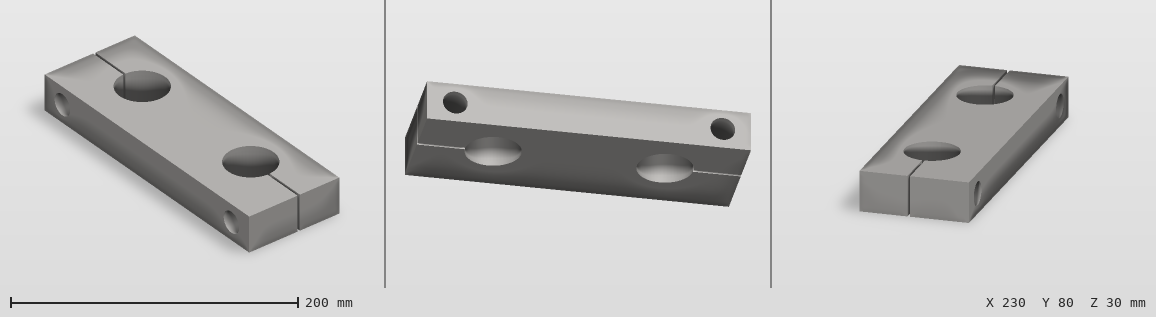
import cadquery as cq

LENGTH = 230.0
WIDTH = 80.0
HEIGHT = 30.0

BORE_DIAMETER = 40.0
BORE_SPACING = 122.0
BORE_OFFSET_Y = 4.0

SLIT_WIDTH = 2.0

SCREW_HOLE_DIAMETER = 17.5
SCREW_HOLE_SPACING = 190.0


def make_block():
    return cq.Workplane("XY").box(LENGTH, WIDTH, HEIGHT)


def bore_cutter(side):
    return (
        cq.Workplane("XY")
        .center(side * BORE_SPACING / 2, BORE_OFFSET_Y)
        .circle(BORE_DIAMETER / 2)
        .extrude(HEIGHT / 2, both=True)
    )


def slit_cutter(side):
    """Slit from the bore axis to the end face."""
    slit_length = (LENGTH - BORE_SPACING) / 2
    slit_center_x = side * (BORE_SPACING + slit_length) / 2
    return (
        cq.Workplane("XY")
        .box(slit_length, SLIT_WIDTH, HEIGHT)
        .translate((slit_center_x, BORE_OFFSET_Y, 0))
    )


def screw_hole_cutter(side):
    return (
        cq.Workplane("XZ")
        .center(side * SCREW_HOLE_SPACING / 2, 0)
        .circle(SCREW_HOLE_DIAMETER / 2)
        .extrude(WIDTH / 2, both=True)
    )


result = make_block()
for side in (-1, 1):
    result = result.cut(bore_cutter(side))
    result = result.cut(slit_cutter(side))
    result = result.cut(screw_hole_cutter(side))